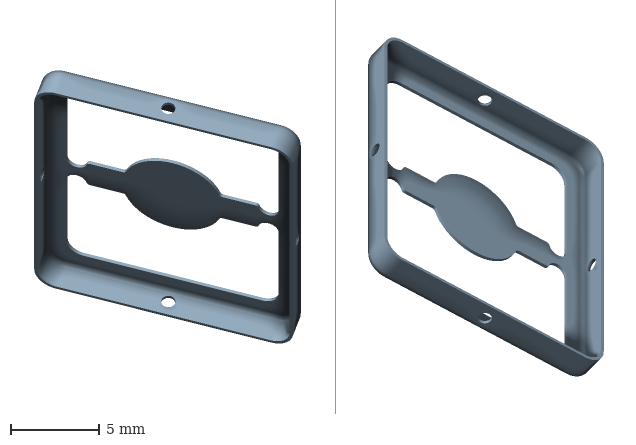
import cadquery as cq
import math

width = 15.4
depth = 1.9
height = 18.3
wall = 0.2
corner_radius = 1.3
back_edge_radius = 0.5

window_margin = 1.39
window_corner_radius = 1.0
disc_radius = 3.0
bar_half_height = 0.99
relief_radius = 0.6
bar_corner_radius = 0.2

hole_diameter = 0.8
hole_from_back = 1.0

inner_width = width - 2 * wall
inner_height = height - 2 * wall
window_width = width - 2 * window_margin
window_height = height - 2 * window_margin
floor_front = depth / 2 - wall
relief_x = window_width / 2 - relief_radius
bar_half_length = window_width / 2 - 2 * relief_radius
joint_x = math.sqrt(disc_radius**2 - bar_half_height**2)


def block(x_size, y_size, z_size, vertical_radius):
    """Centred box with its four edges along Y rounded."""
    return cq.Workplane("XY").box(x_size, y_size, z_size).edges("|Y").fillet(vertical_radius)


def tray():
    """Rounded shell with a uniform wall."""
    outer = block(width, depth, height, corner_radius)
    outer = outer.faces(">Y").edges().fillet(back_edge_radius)
    cavity = block(inner_width, depth, inner_height, corner_radius - wall)
    cavity = cavity.faces(">Y").edges().fillet(back_edge_radius - wall)
    return outer.cut(cavity.translate((0, -wall, 0)))


def corners_at(x, z):
    """Selector for the four edges along Y placed symmetrically at (+-x, +-z)."""
    reach = bar_corner_radius / 2
    selectors = [
        cq.selectors.BoxSelector(
            (sx * x - reach, -wall, sz * z - reach),
            (sx * x + reach, wall, sz * z + reach),
        )
        for sx in (-1, 1)
        for sz in (-1, 1)
    ]
    return selectors[0] + selectors[1] + selectors[2] + selectors[3]


def window():
    """Floor opening that leaves the disc, its bar and the two narrow necks."""
    opening = block(window_width, wall, window_height, window_corner_radius)
    bar = cq.Workplane("XY").box(window_width, wall, 2 * bar_half_height)
    disc = cq.Workplane("XZ").circle(disc_radius).extrude(wall / 2, both=True)
    reliefs = (
        cq.Workplane("XZ")
        .rarray(2 * relief_x, 2 * bar_half_height, 2, 2)
        .circle(relief_radius)
        .extrude(wall / 2, both=True)
    )
    island = disc.union(bar).cut(reliefs)
    for x in (joint_x, bar_half_length):
        island = island.edges("|Y").edges(corners_at(x, bar_half_height)).fillet(bar_corner_radius)
    return opening.cut(island).translate((0, floor_front + wall / 2, 0))


def cross_holes():
    """One bore along X and one along Z, each through both opposite walls."""
    hole_y = depth / 2 - hole_from_back
    along_x = cq.Workplane("YZ").center(hole_y, 0).circle(hole_diameter / 2).extrude(width / 2, both=True)
    along_z = cq.Workplane("XY").center(0, hole_y).circle(hole_diameter / 2).extrude(height / 2, both=True)
    return along_x.union(along_z)


result = tray().cut(window()).cut(cross_holes())